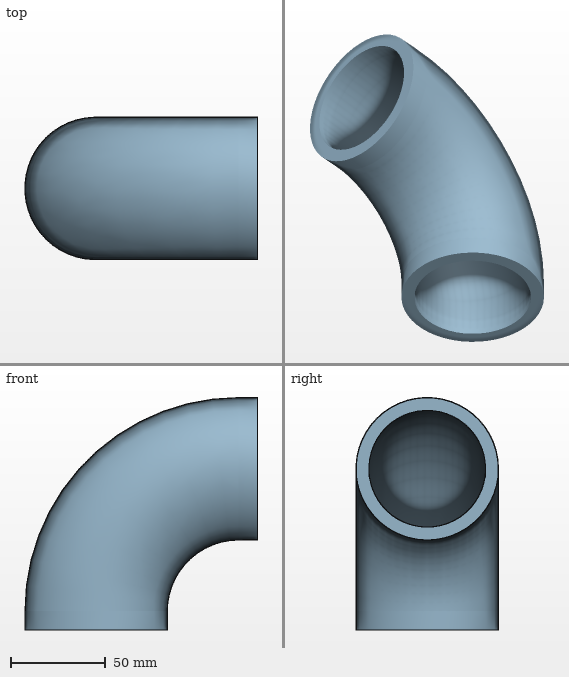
import cadquery as cq

outer_diameter = 75.0
bore_diameter = 61.4
bend_radius = outer_diameter
bend_angle = 90.0
spigot_length = 10.0

bend_start_z = spigot_length
axis_height = bend_start_z + bend_radius


def elbow_body(diameter):
    """Solid elbow of one diameter: straight, quarter bend, straight."""
    radius = diameter / 2
    lower_spigot = cq.Workplane("XY").circle(radius).extrude(spigot_length)
    bend = (
        cq.Workplane("XY", origin=(0, 0, bend_start_z))
        .circle(radius)
        .revolve(bend_angle, (bend_radius, 0), (bend_radius, 1))
    )
    upper_spigot = (
        cq.Workplane("YZ", origin=(bend_radius, 0, axis_height))
        .circle(radius)
        .extrude(spigot_length)
    )
    return lower_spigot.union(bend).union(upper_spigot)


result = elbow_body(outer_diameter).cut(elbow_body(bore_diameter)).solids()